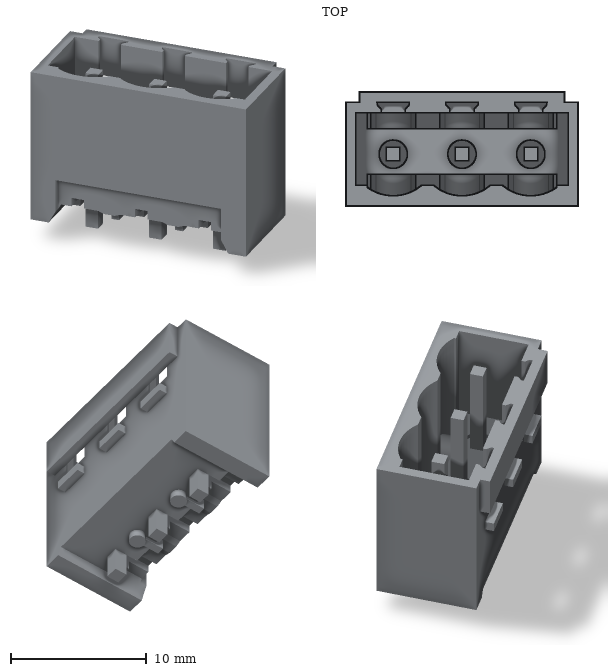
import cadquery as cq
import math


length = 17.14
depth = 7.68
height = 12.0
side_wall = 0.72
rear_wall = 0.79
front_wall = 1.56
floor_top = 4.01

pole_count = 3
pitch = 5.07
pin_size = 1.0
pin_tail = 1.5
pin_top = 11.0
pin_well_radius = 1.05
pin_well_depth = 0.35

slot_half_length = 7.0
slot_bottom = 2.4
strip_front = -1.49
strip_rear = 1.87
hump_half_width = 1.65
hump_round_half_width = 1.29
hump_flank_angle = 55.0

scallop_half_width = 2.1
scallop_depth = 0.79

groove_bottom = 7.83
groove_mouth_half = 0.89
groove_back_half = 1.18
groove_neck_depth = 0.27
groove_taper_end = 0.58

flange_length = 15.12
flange_projection = 0.75
flange_height = 3.14
lug_projection = 0.67
lug_bottom = 5.98
lug_height = 0.74

foot_half_inner = 7.15
underside_rear = 0.6
underside_front = 1.35
underside_front_half = 6.4
recess_half_length = 6.58
recess_top = 3.55
recess_depth = 0.57
pin_slot_top = 2.04
web_drop = 0.17
web_base_half = 0.89
web_tip_half = 0.41
rib_half_width = 0.3
rib_bottom = 0.3
rib_setback = 1.71
standoff_radius = 0.62

front = -depth / 2
rear = depth / 2
pocket_front = front + front_wall
pocket_rear = rear - rear_wall
pole_xs = [(i - (pole_count - 1) / 2) * pitch for i in range(pole_count)]
gap_xs = [(a + b) / 2 for a, b in zip(pole_xs, pole_xs[1:])]


def block(x0, x1, y0, y1, z0, z1):
    """Axis-aligned box between two opposite corners."""
    return cq.Workplane("XY").box(x1 - x0, y1 - y0, z1 - z0, centered=False).translate((x0, y0, z0))


def along_y(y0):
    """Sketch plane in X and Z at y0, facing -Y."""
    return cq.Workplane(cq.Plane(origin=(0, y0, 0), xDir=(1, 0, 0), normal=(0, -1, 0)))


def extrude_rearward(outline, y0, y1):
    """Extrude an X-Z outline, drawn on along_y(y0), back to y1."""
    return outline.extrude(y0 - y1)


def housing_shell():
    shell = block(-length / 2, length / 2, front, rear, 0, height)
    flange = block(
        -flange_length / 2, flange_length / 2, rear, rear + flange_projection, height - flange_height, height
    )
    pocket = block(
        -length / 2 + side_wall, length / 2 - side_wall, pocket_front, pocket_rear, floor_top, height
    )
    return shell.union(flange).cut(pocket)


def scallops():
    """Shallow arcs in the front wall, from the slot bottom to the rim, kept within the slot length."""
    arcs = cq.Workplane("XY")
    for x in pole_xs:
        arc = (
            cq.Workplane("XY", origin=(0, 0, slot_bottom))
            .moveTo(x - scallop_half_width, pocket_front)
            .threePointArc((x, pocket_front - scallop_depth), (x + scallop_half_width, pocket_front))
            .close()
            .extrude(height - slot_bottom)
        )
        arcs = arcs.add(arc)
    limit = block(-slot_half_length, slot_half_length, front, rear, 0, height)
    return arcs.combine().intersect(limit)


def floor_slots():
    """Slots in front of and behind the strip of floor that carries the pins."""
    front_slot = block(
        -slot_half_length, slot_half_length, pocket_front, strip_front, slot_bottom, floor_top
    )
    rear_slot = block(
        -slot_half_length, slot_half_length, strip_rear, pocket_rear, slot_bottom, floor_top
    )
    return front_slot.union(rear_slot)


def hump(x):
    """Round-topped ridge along Y on the slot bottom, with flat flanks tangent to the round."""
    angle = math.radians(hump_flank_angle)
    shoulder = slot_bottom + (hump_half_width - hump_round_half_width) * math.tan(angle)
    radius = hump_round_half_width / math.sin(angle)
    crown = shoulder + radius * (1 - math.cos(angle))
    y0 = front + scallop_depth
    outline = (
        along_y(y0)
        .moveTo(x - hump_half_width, slot_bottom)
        .lineTo(x - hump_round_half_width, shoulder)
        .threePointArc((x, crown), (x + hump_round_half_width, shoulder))
        .lineTo(x + hump_half_width, slot_bottom)
        .close()
    )
    return extrude_rearward(outline, y0, pocket_rear)


def dovetail_groove(x):
    """Groove through the rear wall, wider at the back, closed behind by the flange."""
    half = [
        (groove_back_half, rear),
        (groove_back_half, pocket_rear + groove_taper_end),
        (groove_mouth_half, pocket_rear + groove_neck_depth),
        (groove_mouth_half, pocket_rear),
    ]
    outline = [(x + u, y) for u, y in half] + [(x - u, y) for u, y in reversed(half)]
    plane = cq.Workplane("XY", origin=(0, 0, groove_bottom))
    return plane.polyline(outline).close().extrude(height - groove_bottom)


def latch_lug(x):
    """Small block on the rear face, as wide as the groove above it."""
    lug_top = lug_bottom + lug_height
    return block(x - groove_back_half, x + groove_back_half, rear, rear + lug_projection, lug_bottom, lug_top)


def underside_opening(y0, y1, top):
    """Sloping-sided opening between the feet, raised to the given height."""
    slope = (foot_half_inner - underside_front_half) / underside_front
    top_half = foot_half_inner - slope * top
    outline = (
        along_y(y0)
        .polyline([(-foot_half_inner, 0), (foot_half_inner, 0), (top_half, top), (-top_half, top)])
        .close()
    )
    return extrude_rearward(outline, y0, y1)


def front_recess():
    """Shallow recess in the front face that runs down into the opening between the feet."""
    return block(-recess_half_length, recess_half_length, front, front + recess_depth, 0, recess_top)


def web(x):
    """Low ridge hanging between two poles from the front part of the underside."""
    y0 = front + recess_depth
    outline = (
        along_y(y0)
        .polyline([
            (x - web_base_half, underside_front),
            (x - web_tip_half, underside_front - web_drop),
            (x + web_tip_half, underside_front - web_drop),
            (x + web_base_half, underside_front),
        ])
        .close()
    )
    return extrude_rearward(outline, y0, strip_front)


def standoff(x):
    """Round standoff under the floor strip with a rib running forward from it."""
    post = cq.Workplane("XY").center(x, 0).circle(standoff_radius).extrude(underside_front)
    rib = block(x - rib_half_width, x + rib_half_width, front + rib_setback, 0, rib_bottom, underside_front)
    return post.union(rib)


def pin_slot(x):
    """Slot from the front face to the pin, open at the bottom."""
    return block(x - pin_size / 2, x + pin_size / 2, front, 0, 0, pin_slot_top)


def pin_well(x):
    plane = cq.Workplane("XY", origin=(x, 0, floor_top - pin_well_depth))
    return plane.circle(pin_well_radius).extrude(pin_well_depth)


def pin(x):
    half = pin_size / 2
    return block(x - half, x + half, -half, half, -pin_tail, pin_top)


result = housing_shell().cut(scallops()).cut(floor_slots())
for x in pole_xs:
    result = result.union(hump(x)).cut(dovetail_groove(x)).union(latch_lug(x))

result = result.cut(underside_opening(front, rear, underside_rear))
result = result.cut(underside_opening(front, strip_front, underside_front))
result = result.cut(front_recess())

for x in gap_xs:
    result = result.union(web(x)).union(standoff(x))

for x in pole_xs:
    result = result.cut(pin_slot(x)).cut(pin_well(x)).union(pin(x))